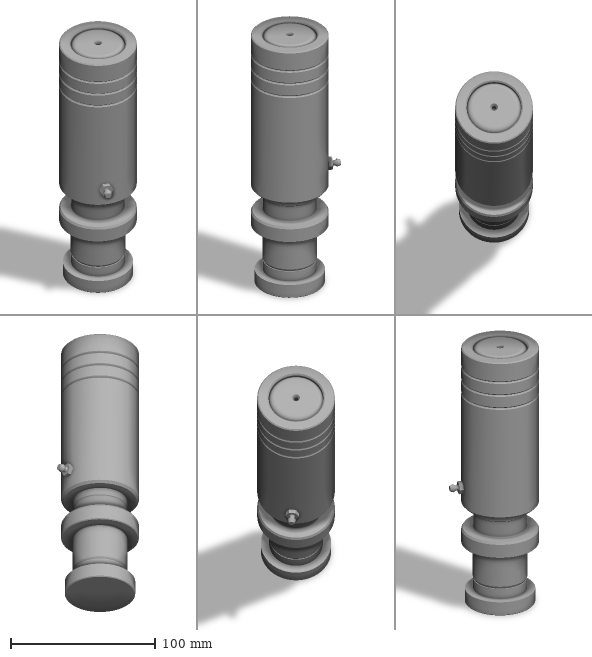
import cadquery as cq
import math

total_height = 195.0

sleeve_diameter = 54.0
sleeve_bottom = 74.9
sleeve_top_chamfer = 0.8
sleeve_foot_chamfer_height = 1.8
sleeve_foot_chamfer_width = 1.5
bore_chamfer = 1.0
groove_count = 3
groove_pitch = 10.0
first_groove_depth_below_top = 15.0
groove_half_width = 1.0
groove_depth = 1.0

pillar_diameter = 38.0
pillar_bottom = 18.0
pillar_foot_chamfer_height = 1.8
pillar_foot_chamfer_width = 1.0
pillar_top_face_diameter = 30.0
relief_diameter = 37.0
upper_relief_top = 69.6
lower_relief_height = 1.2
collar_diameter = sleeve_diameter
collar_bottom = 45.0
collar_top = 57.1
collar_top_chamfer_height = 1.5
collar_top_chamfer_width = 1.0
collar_bottom_chamfer = 0.5
collar_fillet = 1.0
centre_mouth_diameter = 5.5
centre_drill_diameter = 3.1
centre_drill_length = 3.9
centre_mouth_half_angle = 30
drill_tip_half_angle = 59

foot_neck_diameter = 37.5
foot_disc_diameter = 49.0
foot_disc_height = 10.3
foot_edge_chamfer = 0.5

nipple_height = 90.0
nipple_turn = 15.5
nipple_stem_diameter = 5.0
nipple_stem_length = 4.9
hex_across_flats = 8.0
hex_thickness = 3.0
nipple_root_diameter = 4.0
nipple_root_length = 1.0
nipple_waist_diameter = 3.3
nipple_waist_length = 2.3
nipple_shoulder_diameter = 4.9
nipple_head_diameter = 5.8
nipple_tip_diameter = 4.0
nipple_cone_length = 2.7

sleeve_radius = sleeve_diameter / 2
pillar_radius = pillar_diameter / 2
relief_radius = relief_diameter / 2
collar_radius = collar_diameter / 2
hex_across_corners = hex_across_flats / math.cos(math.pi / 6)


def revolve_profile(outline):
    """Turn a closed radius/height outline about the Z axis."""
    return outline.close().revolve(360, (0, 0, 0), (0, 1, 0))


def nipple_frame(distance):
    """Plane across the nipple axis, at a distance from the sleeve axis."""
    turn = math.radians(nipple_turn)
    outward = cq.Vector(math.cos(turn), -math.sin(turn), 0)
    origin = outward * distance + cq.Vector(0, 0, nipple_height)
    return cq.Plane(origin=origin, xDir=cq.Vector(0, 0, 1).cross(outward), normal=outward)


def nipple_stem():
    """Plain stem that fills the hole in the sleeve wall."""
    stem_start = sleeve_radius - nipple_stem_length
    return cq.Workplane(nipple_frame(stem_start)).circle(nipple_stem_diameter / 2).extrude(nipple_stem_length)


def v_groove(height):
    """Ring with a triangular section, cut into the sleeve surface."""
    outline = (
        cq.Workplane("XZ")
        .moveTo(sleeve_radius, height - groove_half_width)
        .lineTo(sleeve_radius - groove_depth, height)
        .lineTo(sleeve_radius, height + groove_half_width)
    )
    return revolve_profile(outline)


def make_sleeve():
    outline = (
        cq.Workplane("XZ")
        .moveTo(pillar_radius, sleeve_bottom)
        .lineTo(sleeve_radius - sleeve_foot_chamfer_width, sleeve_bottom)
        .lineTo(sleeve_radius, sleeve_bottom + sleeve_foot_chamfer_height)
        .lineTo(sleeve_radius, total_height - sleeve_top_chamfer)
        .lineTo(sleeve_radius - sleeve_top_chamfer, total_height)
        .lineTo(pillar_radius + bore_chamfer, total_height)
        .lineTo(pillar_radius, total_height - bore_chamfer)
    )
    sleeve = revolve_profile(outline)
    for index in range(groove_count):
        sleeve = sleeve.cut(v_groove(total_height - first_groove_depth_below_top - index * groove_pitch))
    return sleeve.cut(nipple_stem())


def centre_hole():
    """Conical mouth and blind drilled hole in the top of the pillar."""
    mouth_radius = centre_mouth_diameter / 2
    drill_radius = centre_drill_diameter / 2
    mouth_depth = (mouth_radius - drill_radius) / math.tan(math.radians(centre_mouth_half_angle))
    tip_depth = drill_radius / math.tan(math.radians(drill_tip_half_angle))
    drill_end = total_height - mouth_depth - centre_drill_length
    outline = (
        cq.Workplane("XZ")
        .moveTo(0, total_height)
        .lineTo(mouth_radius, total_height)
        .lineTo(drill_radius, total_height - mouth_depth)
        .lineTo(drill_radius, drill_end)
        .lineTo(0, drill_end - tip_depth)
    )
    return revolve_profile(outline)


def make_pillar():
    top_round = (pillar_diameter - pillar_top_face_diameter) / 2
    relief_step = pillar_radius - relief_radius
    outline = (
        cq.Workplane("XZ")
        .moveTo(0, pillar_bottom)
        .lineTo(pillar_radius - pillar_foot_chamfer_width, pillar_bottom)
        .lineTo(pillar_radius, pillar_bottom + pillar_foot_chamfer_height)
        .lineTo(pillar_radius, collar_bottom - lower_relief_height)
        .lineTo(relief_radius, collar_bottom - lower_relief_height)
        .lineTo(relief_radius, collar_bottom)
        .lineTo(collar_radius - collar_bottom_chamfer, collar_bottom)
        .lineTo(collar_radius, collar_bottom + collar_bottom_chamfer)
        .lineTo(collar_radius, collar_top - collar_top_chamfer_height)
        .lineTo(collar_radius - collar_top_chamfer_width, collar_top)
        .lineTo(relief_radius + collar_fillet, collar_top)
        .radiusArc((relief_radius, collar_top + collar_fillet), collar_fillet)
        .lineTo(relief_radius, upper_relief_top - relief_step)
        .lineTo(pillar_radius, upper_relief_top)
        .lineTo(pillar_radius, total_height - top_round)
        .radiusArc((pillar_radius - top_round, total_height), -top_round)
        .lineTo(0, total_height)
    )
    return revolve_profile(outline).cut(centre_hole())


def make_foot():
    disc = cq.Workplane("XY").circle(foot_disc_diameter / 2).extrude(foot_disc_height)
    disc = disc.faces("<Z").edges().chamfer(foot_edge_chamfer)
    neck = cq.Workplane("XY").circle(foot_neck_diameter / 2).extrude(pillar_bottom)
    return disc.union(neck)


def make_nipple():
    hexagon = cq.Workplane(nipple_frame(sleeve_radius)).polygon(6, hex_across_corners).extrude(hex_thickness)

    root_end = nipple_root_length
    waist_end = root_end + nipple_waist_length
    tip_end = waist_end + nipple_cone_length
    frame = nipple_frame(sleeve_radius + hex_thickness)
    turning_plane = cq.Plane(origin=frame.origin, xDir=frame.xDir, normal=frame.xDir.cross(frame.zDir))
    outline = (
        cq.Workplane(turning_plane)
        .moveTo(0, 0)
        .lineTo(nipple_root_diameter / 2, 0)
        .lineTo(nipple_waist_diameter / 2, root_end)
        .lineTo(nipple_shoulder_diameter / 2, waist_end)
        .lineTo(nipple_head_diameter / 2, waist_end)
        .lineTo(nipple_tip_diameter / 2, tip_end)
        .lineTo(0, tip_end)
    )
    return hexagon.union(revolve_profile(outline)).union(nipple_stem())


sleeve = make_sleeve()
pillar = make_pillar()
foot = make_foot()
nipple = make_nipple()

result = cq.Compound.makeCompound([sleeve.val(), pillar.val(), foot.val(), nipple.val()])